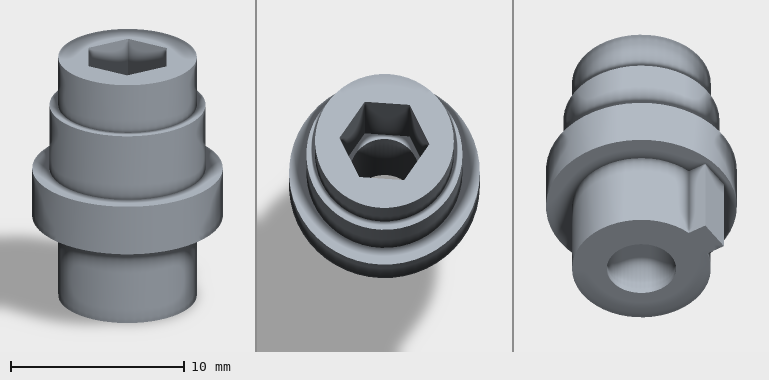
import cadquery as cq
import math

spigot_diameter = 8.0
spigot_height = 5.0
flange_diameter = 11.0
flange_height = 3.0
shoulder_diameter = 9.0
shoulder_height = 4.0
nose_diameter = 8.0
nose_height = 3.0

bore_diameter = 4.0
socket_across_flats = 4.5
socket_depth = nose_height + shoulder_height
socket_corner_angle = 88.3

key_width = 2.0
key_reach = 5.0
key_angle = 108.7

total_height = spigot_height + flange_height + shoulder_height + nose_height


def stepped_body():
    """Stack the four coaxial cylinders from the bottom up."""
    steps = [
        (spigot_diameter, spigot_height),
        (flange_diameter, flange_height),
        (shoulder_diameter, shoulder_height),
        (nose_diameter, nose_height),
    ]
    body = cq.Workplane("XY")
    base = 0.0
    for diameter, height in steps:
        step = cq.Workplane("XY").workplane(offset=base).circle(diameter / 2).extrude(height)
        body = body.union(step)
        base += height
    return body


def key():
    """Radial bar from the axis out to the key face, turned to its angle."""
    bar = cq.Workplane("XY").box(key_reach, key_width, spigot_height, centered=(False, True, False))
    return bar.rotate((0, 0, 0), (0, 0, 1), key_angle)


def bore():
    """Round passage through the full height."""
    return cq.Workplane("XY").circle(bore_diameter / 2).extrude(total_height)


def hex_socket():
    """Hexagonal prism reaching down from the top face."""
    across_corners = socket_across_flats / math.cos(math.pi / 6)
    prism = (
        cq.Workplane("XY")
        .workplane(offset=total_height - socket_depth)
        .polygon(6, across_corners)
        .extrude(socket_depth)
    )
    return prism.rotate((0, 0, 0), (0, 0, 1), socket_corner_angle)


result = stepped_body().union(key()).cut(bore()).cut(hex_socket())